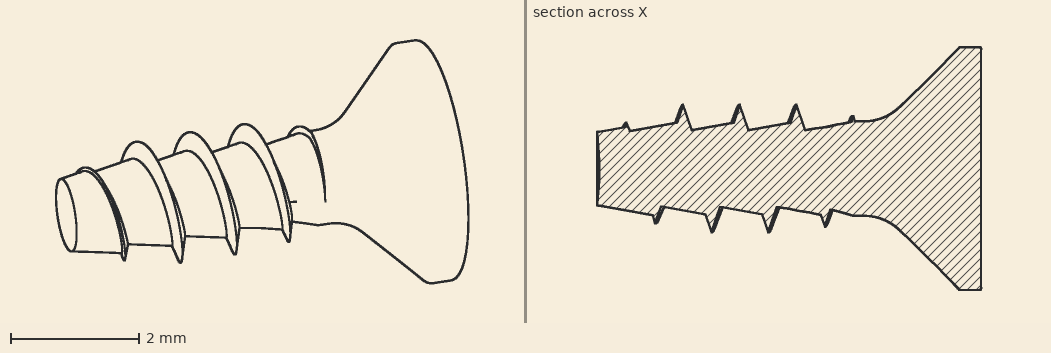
import cadquery as cq
import math


length = 6.0
head_radius = 1.9
rim_height = 0.34
rim_round = 0.03
head_half_angle = math.radians(45)
neck_fillet = 0.8
collar_radius = 0.74
collar_end = 2.0

core_radius = 0.59
core_slope = 0.18
collar_taper_slope = 0.278
collar_taper_end_radius = 0.5
tip_radius = 0.575
tip_rim_width = 0.035
tip_dish_depth = 0.035

pitch = 0.886
thread_start = 2.0
thread_radius = 1.0
flank_half_angle = math.radians(19)
thread_root_radius = 0.5
points_per_turn = 16

run_in_turn = -0.25
run_in_radius = 0.735
first_crest_radius = 0.82
run_in_end_turn = 1.0
run_out_turn = 3.0
thread_end_turn = 4.5
tip_crest_radius = 0.58

taper_top_radius = 0.737
taper_root_radius = 0.45
taper_bottom_radius = core_radius - 0.01


def interpolate(value, start, end, start_result, end_result):
    return start_result + (end_result - start_result) * (value - start) / (end - start)


def crest_radius(turn):
    """Crest radius: grows out of the collar, stays constant, then sinks into the tip."""
    if turn < 0:
        return interpolate(turn, run_in_turn, 0, run_in_radius, first_crest_radius)
    if turn < run_in_end_turn:
        return interpolate(turn, 0, run_in_end_turn, first_crest_radius, thread_radius)
    if turn < run_out_turn:
        return thread_radius
    return interpolate(turn, run_out_turn, thread_end_turn, thread_radius, tip_crest_radius)


def helix_point(turn, radius, depth):
    angle = 2 * math.pi * turn
    return cq.Vector(-radius * math.sin(angle), -depth, radius * math.cos(angle))


def helical_solid(profile_at, start_turn, end_turn):
    """Solid whose corners follow helices; profile_at(turn) lists (radius, depth)."""
    steps = round((end_turn - start_turn) * points_per_turn)
    turns = [start_turn + (end_turn - start_turn) * i / steps for i in range(steps + 1)]
    corners = range(len(profile_at(start_turn)))
    edges = [
        cq.Edge.makeSpline([helix_point(turn, *profile_at(turn)[corner]) for turn in turns])
        for corner in corners
    ]
    faces = [cq.Face.makeRuledSurface(edges[i - 1], edges[i]) for i in corners]
    for turn in (start_turn, end_turn):
        outline = [helix_point(turn, *corner) for corner in profile_at(turn)]
        faces.append(cq.Face.makeFromWires(cq.Wire.makePolygon(outline, close=True)))
    solid = cq.Solid.makeSolid(cq.Shell.makeShell(faces))
    return cq.Workplane(obj=solid.fix())


def thread_profile(turn):
    """Sharp triangular ridge that moves bodily inwards where the crest radius shrinks.

    The run-in ahead of turn zero stays at one depth, along the end of the collar.
    """
    crest = crest_radius(turn)
    crest_depth = thread_start + pitch * max(turn, 0)
    height = thread_radius - thread_root_radius
    root_half_width = height * math.tan(flank_half_angle)
    root = crest - height
    return [
        (root, crest_depth - root_half_width),
        (crest, crest_depth),
        (root, crest_depth + root_half_width),
    ]


def taper_profile(turn):
    """Wedge below the thread, sloping down until it dives under the core cylinder."""
    taper_length = (taper_top_radius - taper_bottom_radius) / core_slope
    top_depth = thread_start + pitch * turn
    bottom_depth = top_depth + taper_length
    return [
        (taper_root_radius, top_depth),
        (taper_top_radius, top_depth),
        (taper_bottom_radius, bottom_depth),
        (taper_root_radius, bottom_depth),
    ]


def make_head():
    """Head, filleted neck, collar and the short cone leading down to the core."""
    arc_start_radius = collar_radius + neck_fillet * (1 - math.cos(head_half_angle))
    arc_start = rim_height + (head_radius - arc_start_radius) / math.tan(head_half_angle)
    arc_end = arc_start + neck_fillet * math.sin(head_half_angle)
    half_arc = head_half_angle / 2
    arc_middle = (
        collar_radius + neck_fillet * (1 - math.cos(half_arc)),
        -(arc_end - neck_fillet * math.sin(half_arc)),
    )
    taper_end = collar_end + (collar_radius - collar_taper_end_radius) / collar_taper_slope
    head = (
        cq.Workplane("XY")
        .lineTo(head_radius, 0)
        .lineTo(head_radius, -rim_height)
        .lineTo(arc_start_radius, -arc_start)
        .threePointArc(arc_middle, (collar_radius, -arc_end))
        .lineTo(collar_radius, -collar_end)
        .lineTo(collar_taper_end_radius, -taper_end)
        .lineTo(0, -taper_end)
        .close()
        .revolve(360, (0, 0), (0, 1))
    )
    rim = cq.selectors.BoxSelector(
        (-2 * head_radius, -(rim_height + rim_round), -2 * head_radius),
        (2 * head_radius, rim_height, 2 * head_radius),
    )
    return head.edges(rim).edges("%CIRCLE").fillet(rim_round)


def make_core():
    """Cylinder plus helical taper, trimmed to the conical tip."""
    core_start = collar_end - pitch / 2
    cylinder = (
        cq.Workplane("XZ", origin=(0, -core_start, 0))
        .circle(core_radius)
        .extrude(length - core_start)
    )
    taper = helical_solid(taper_profile, run_in_turn, thread_end_turn)
    cone_start = length - (collar_radius - tip_radius) / core_slope
    envelope = (
        cq.Workplane("XY")
        .moveTo(0, -core_start)
        .lineTo(collar_radius, -core_start)
        .lineTo(collar_radius, -cone_start)
        .lineTo(tip_radius, -length)
        .lineTo(0, -length)
        .close()
        .revolve(360, (0, 0), (0, 1))
    )
    return cylinder.union(taper).intersect(envelope)


def add_thread(body):
    """Add the thread stretch by stretch, cut off flush with the tip face."""
    limit = cq.Workplane("XZ").circle(head_radius).extrude(length)
    stretch_ends = [run_in_turn, 0, run_in_end_turn, run_out_turn, thread_end_turn]
    for start_turn, end_turn in zip(stretch_ends, stretch_ends[1:]):
        stretch = helical_solid(thread_profile, start_turn, end_turn).intersect(limit)
        body = body.union(stretch)
    return body


def make_tip_dish():
    """Shallow spherical cap hollowed out of the tip face, inside a flat rim."""
    dish_radius = tip_radius - tip_rim_width
    sphere_radius = (dish_radius**2 + tip_dish_depth**2) / (2 * tip_dish_depth)
    sphere_centre = -(length - tip_dish_depth + sphere_radius)
    return cq.Workplane("XY", origin=(0, sphere_centre, 0)).sphere(sphere_radius)


screw = add_thread(make_head().union(make_core())).cut(make_tip_dish())
result = cq.Workplane(obj=screw.val().Solids()[0])